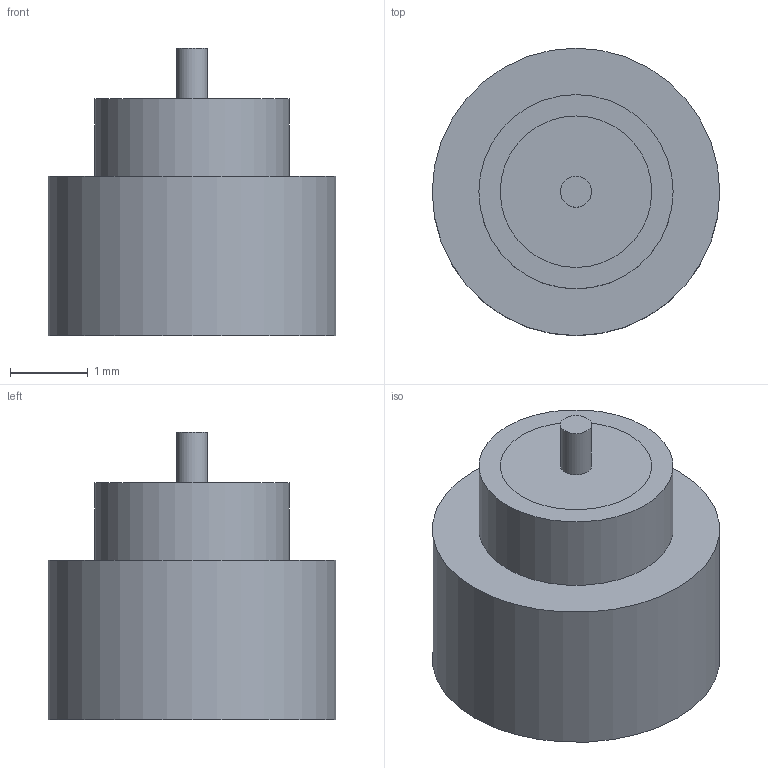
import cadquery as cq

TOTAL_HEIGHT = 3.7
BODY_DIAMETER = 3.7
BODY_HEIGHT = 2.05
COLLAR_DIAMETER = 2.5
COLLAR_HEIGHT = 1.0
INSERT_DIAMETER = 1.95
PIN_DIAMETER = 0.4

COLLAR_TOP = BODY_HEIGHT + COLLAR_HEIGHT
PIN_HEIGHT = TOTAL_HEIGHT - COLLAR_TOP


def cylinder(diameter, height, bottom):
    """Upright cylinder on the Z axis, standing on the given level."""
    return cq.Workplane("XY").workplane(offset=bottom).circle(diameter / 2).extrude(height)


def make_shell():
    """Body and collar, bored through the collar for the insert."""
    body = cylinder(BODY_DIAMETER, BODY_HEIGHT, 0)
    collar = cylinder(COLLAR_DIAMETER, COLLAR_HEIGHT, BODY_HEIGHT)
    bore = cylinder(INSERT_DIAMETER, COLLAR_HEIGHT, BODY_HEIGHT)
    return body.union(collar).cut(bore)


def make_core():
    """Insert flush with the collar top, carrying the central pin."""
    insert = cylinder(INSERT_DIAMETER, COLLAR_HEIGHT, BODY_HEIGHT)
    pin = cylinder(PIN_DIAMETER, PIN_HEIGHT, COLLAR_TOP)
    return insert.union(pin)


result = make_shell().union(make_core(), clean=False)